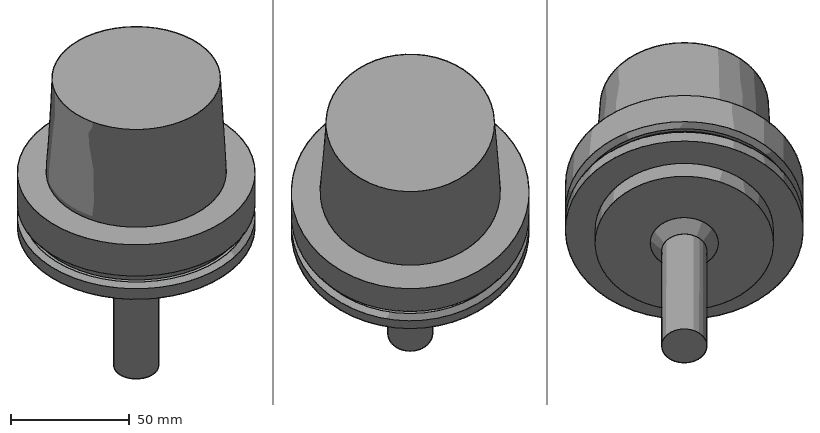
import cadquery as cq

total_height = 152.5

shaft_diameter = 19.0
shaft_length = 60.2
cone_diameter = 28.7
cone_height = 5.0

collar_diameter = 75.0
collar_height = 8.2

flange_diameter = 100.0
flange_height = 29.0
groove_diameter = 92.0
lower_rim_height = 5.6
groove_width = 3.7
groove_chamfer_height = 1.5
chamfer_inner_diameter = 94.7

taper_base_diameter = 75.8
taper_top_diameter = 70.9
land_height = 2.0

collar_bottom = shaft_length + cone_height
flange_bottom = collar_bottom + collar_height
flange_top = flange_bottom + flange_height
groove_bottom = flange_bottom + lower_rim_height
groove_wall_bottom = groove_bottom + groove_chamfer_height
groove_wall_top = groove_wall_bottom + groove_width
groove_top = groove_wall_top + groove_chamfer_height
taper_bottom = flange_top + land_height

section = [
    (0, 0),
    (shaft_diameter, 0),
    (shaft_diameter, shaft_length),
    (cone_diameter, collar_bottom),
    (collar_diameter, collar_bottom),
    (collar_diameter, flange_bottom),
    (flange_diameter, flange_bottom),
    (flange_diameter, groove_bottom),
    (chamfer_inner_diameter, groove_wall_bottom),
    (groove_diameter, groove_wall_bottom),
    (groove_diameter, groove_wall_top),
    (chamfer_inner_diameter, groove_wall_top),
    (flange_diameter, groove_top),
    (flange_diameter, flange_top),
    (taper_base_diameter, flange_top),
    (taper_base_diameter, taper_bottom),
    (taper_top_diameter, total_height),
    (0, total_height),
]

result = (
    cq.Workplane("XZ")
    .polyline([(diameter / 2, height) for diameter, height in section])
    .close()
    .revolve(360, (0, 0, 0), (0, 1, 0))
)